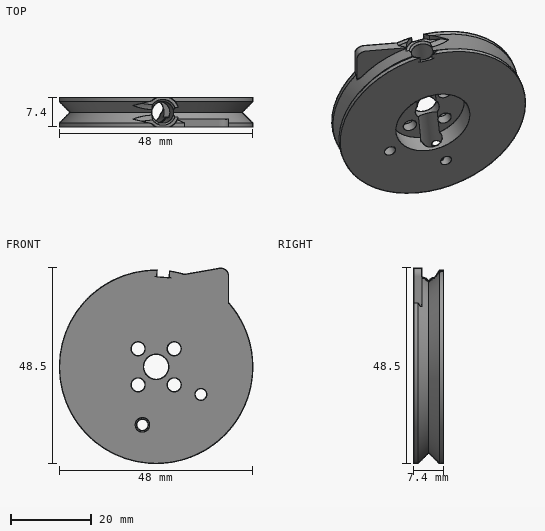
import cadquery as cq
import math

wheel_radius = 24.0
wheel_width = 7.4
groove_width = 5.3
groove_root_radius = 21.4
front_y = -wheel_width / 2
back_y = wheel_width / 2

hub_hole_diameter = 6.2
hub_pocket_diameter = 19.15
hub_pocket_floor_y = -1.16
hub_screw_diameter = 3.4
hub_screw_spacing = 8.95

plain_hole_diameter = 2.85
plain_hole_position = (11.1, -6.85)

step_front_diameter = 3.6
step_back_diameter = 2.8
stepped_hole_position = (-3.4, -14.4)

ear_thickness = 2.02
ear_right_x = 18.0
ear_top_z = 24.49
ear_corner_radius = 2.0
ear_slope_angle = 10.0
ear_root_x = 4.0
ear_root_z = 15.0

bore_lean_angle = 4.3
bore_diameter = 5.4
bore_chamfer = 0.5
seat_diameter = 8.0
seat_height = 22.3
seam_turn = 45.0
cut_top = wheel_radius + 2.0

rim_hole_diameter = 3.4
rim_hole_y = 1.0

exit_half_width = 3.54
exit_taper = 0.25
exit_length = 10.0
exit_channel_diameter = 8.0
exit_channel_bottom_z = 21.97


def along_y(diameter, start_y, end_y, x=0.0, z=0.0):
    """Cylinder parallel to the wheel axis."""
    start = cq.Vector(x, start_y, z)
    cylinder = cq.Solid.makeCylinder(diameter / 2, end_y - start_y, start, cq.Vector(0, 1, 0))
    return cq.Workplane("XY").add(cylinder)


def lean(shape):
    """Turn a shape built around Z onto the cross bore axis."""
    return shape.rotate((0, 0, 0), (0, 1, 0), bore_lean_angle)


def make_wheel():
    profile = [
        (0, front_y),
        (wheel_radius, front_y),
        (wheel_radius, -groove_width / 2),
        (groove_root_radius, 0),
        (wheel_radius, groove_width / 2),
        (wheel_radius, back_y),
        (0, back_y),
    ]
    return cq.Workplane("XY").polyline(profile).close().revolve(360, (0, 0, 0), (0, 1, 0))


def make_ear():
    """Pointed plate on the front flange: a sloping top, a rounded corner and an upright side."""
    slope = math.radians(ear_slope_angle)
    corner_x = ear_right_x - ear_corner_radius
    corner_z = ear_top_z - ear_corner_radius
    slope_end_x = corner_x - ear_corner_radius * math.sin(slope)
    slope_end_z = corner_z + ear_corner_radius * math.cos(slope)
    slope_start_z = slope_end_z - (slope_end_x - ear_root_x) * math.tan(slope)
    middle = (math.pi / 2 + slope) / 2
    corner_middle = (
        corner_x + ear_corner_radius * math.cos(middle),
        corner_z + ear_corner_radius * math.sin(middle),
    )
    return (
        cq.Workplane("XZ", origin=(0, front_y, 0))
        .moveTo(ear_root_x, slope_start_z)
        .lineTo(slope_end_x, slope_end_z)
        .threePointArc(corner_middle, (ear_right_x, corner_z))
        .lineTo(ear_right_x, ear_root_z)
        .close()
        .extrude(-ear_thickness)
    )


def make_axial_holes():
    holes = along_y(hub_hole_diameter, front_y, back_y)
    holes = holes.union(along_y(hub_pocket_diameter, hub_pocket_floor_y, back_y))
    for side_x in (-1, 1):
        for side_z in (-1, 1):
            x = side_x * hub_screw_spacing / 2
            z = side_z * hub_screw_spacing / 2
            holes = holes.union(along_y(hub_screw_diameter, front_y, back_y, x, z))
    holes = holes.union(along_y(plain_hole_diameter, front_y, back_y, *plain_hole_position))
    return holes


def make_stepped_hole():
    wide_part = along_y(step_front_diameter, front_y, 0, *stepped_hole_position)
    return wide_part.union(along_y(step_back_diameter, front_y, back_y, *stepped_hole_position))


def make_cross_bore():
    """Through bore with a flat round seat and a chamfered mouth at its upper end."""
    bore = cq.Workplane("XY").workplane(offset=-cut_top).circle(bore_diameter / 2).extrude(2 * cut_top)
    seat = cq.Workplane("XY").workplane(offset=seat_height).circle(seat_diameter / 2)
    seat = seat.extrude(cut_top - seat_height)
    chamfer = cq.Solid.makeCone(
        bore_diameter / 2,
        bore_diameter / 2 + bore_chamfer,
        bore_chamfer,
        cq.Vector(0, 0, seat_height - bore_chamfer),
    )
    cutter = bore.union(seat).union(cq.Workplane("XY").add(chamfer))
    return lean(cutter.rotate((0, 0, 0), (0, 0, 1), seam_turn))


def make_rim_hole():
    hole = cq.Workplane("XY").center(0, rim_hole_y).circle(rim_hole_diameter / 2).extrude(-cut_top)
    return hole.rotate((0, rim_hole_y, 0), (0, rim_hole_y, 1), seam_turn)


def make_cable_exit():
    """Tapered slot with a flat floor level with the seat and a rounded channel sunk into it."""
    end_half_width = exit_half_width - exit_taper * exit_length
    outline = [
        (0, -exit_half_width),
        (0, exit_half_width),
        (-exit_length, end_half_width),
        (-exit_length, -end_half_width),
    ]
    wedge = lean(cq.Workplane("XY").polyline(outline).close().extrude(cut_top))
    floor_plane = cq.Workplane("XY").workplane(offset=seat_height)
    floor_cut = lean(floor_plane.polyline(outline).close().extrude(cut_top - seat_height))
    channel_axis_z = exit_channel_bottom_z + exit_channel_diameter / 2
    channel = cq.Workplane("YZ").center(0, channel_axis_z).circle(exit_channel_diameter / 2)
    channel = channel.extrude(wheel_radius, both=True)
    return floor_cut.union(channel.intersect(wedge))


result = (
    make_wheel()
    .union(make_ear())
    .cut(make_axial_holes())
    .cut(make_stepped_hole())
    .cut(make_cross_bore())
    .cut(make_rim_hole())
    .cut(make_cable_exit())
)